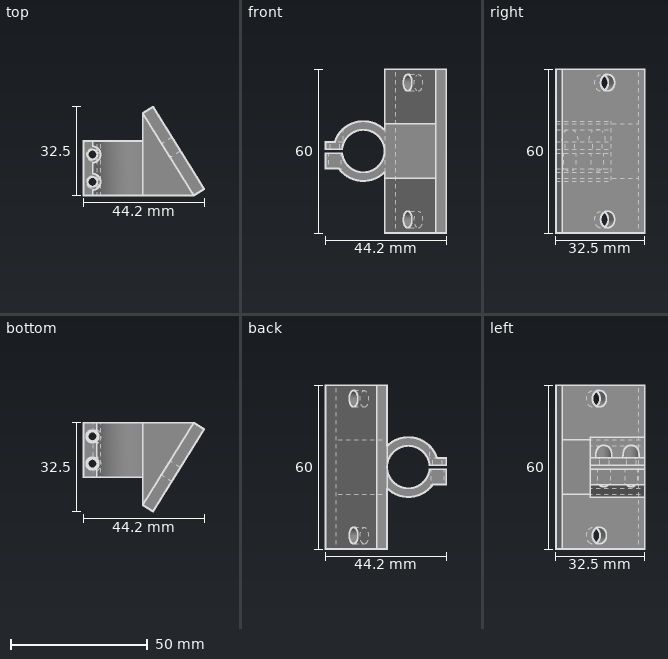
import cadquery as cq
import math

clamp_length = 20.0
clamp_radius = 11.0
bore_radius = 7.75
tab_end_x = -13.85
tab_top_z = 3.35
tab_bottom_z = -6.4
slit_top_z = 0.6
slit_bottom_z = -0.8

screw_x = -10.55
screw_spacing = clamp_length / 2
screw_clearance_diameter = 3.5
screw_head_diameter = 6.0
lower_hole_diameter = 4.6

wedge_face_x = 7.8
wedge_width = 18.7
wedge_depth = 30.1
wedge_height = 20.0

plate_height = 60.0
plate_thickness = 4.5
plate_hole_diameter = 6.0
plate_hole_spacing = 50.05
plate_hole_distance = 19.5

slope_length = math.hypot(wedge_width, wedge_depth)
slope_x = -wedge_width / slope_length
slope_y = wedge_depth / slope_length
normal_x = slope_y
normal_y = -slope_x
near_corner = (wedge_face_x + wedge_width, 0)
far_corner = (wedge_face_x, wedge_depth)


def box_between(x_start, x_end, z_start, z_end):
    """Box spanning the clamp length in Y."""
    size_x = x_end - x_start
    size_z = z_end - z_start
    box = cq.Workplane("XY").box(size_x, clamp_length, size_z, centered=False)
    return box.translate((x_start, 0, z_start))


def cylinder_along_y(radius):
    return cq.Workplane("XZ").circle(radius).extrude(-clamp_length)


def vertical_cylinder(y, diameter, z_start, z_end):
    """Cylinder on the axis of a clamp screw."""
    base = cq.Workplane("XY", origin=(screw_x, y, z_start))
    return base.circle(diameter / 2).extrude(z_end - z_start)


def offset_from_slope(corner):
    """Move a point through the plate thickness, square to the slope."""
    return (corner[0] + plate_thickness * normal_x, corner[1] + plate_thickness * normal_y)


def make_clamp():
    tabs = box_between(tab_end_x, 0, tab_bottom_z, tab_top_z)
    clamp = cylinder_along_y(clamp_radius).union(tabs)
    clamp = clamp.cut(cylinder_along_y(bore_radius))
    clamp = clamp.cut(box_between(tab_end_x, 0, slit_bottom_z, slit_top_z))
    clamp = clamp.cut(box_between(wedge_face_x, clamp_radius, -clamp_radius, clamp_radius))
    for side in (-1, 1):
        y = clamp_length / 2 + side * screw_spacing / 2
        clamp = clamp.cut(vertical_cylinder(y, screw_clearance_diameter, 0, tab_top_z))
        clamp = clamp.cut(vertical_cylinder(y, screw_head_diameter, tab_top_z, clamp_radius))
        clamp = clamp.cut(vertical_cylinder(y, lower_hole_diameter, -clamp_radius, 0))
    return clamp


def make_wedge():
    outline = cq.Workplane("XY").polyline([(wedge_face_x, 0), near_corner, far_corner]).close()
    return outline.extrude(wedge_height / 2, both=True)


def make_plate():
    corners = [near_corner, offset_from_slope(near_corner), offset_from_slope(far_corner), far_corner]
    plate = cq.Workplane("XY").polyline(corners).close().extrude(plate_height / 2, both=True)
    hole_x = near_corner[0] + plate_hole_distance * slope_x
    hole_y = near_corner[1] + plate_hole_distance * slope_y
    for side in (-1, 1):
        start = cq.Vector(hole_x, hole_y, side * plate_hole_spacing / 2)
        direction = cq.Vector(normal_x, normal_y, 0)
        hole = cq.Solid.makeCylinder(plate_hole_diameter / 2, plate_thickness, start, direction)
        plate = plate.cut(cq.Workplane(obj=hole))
    return plate


result = make_clamp().union(make_wedge()).union(make_plate())